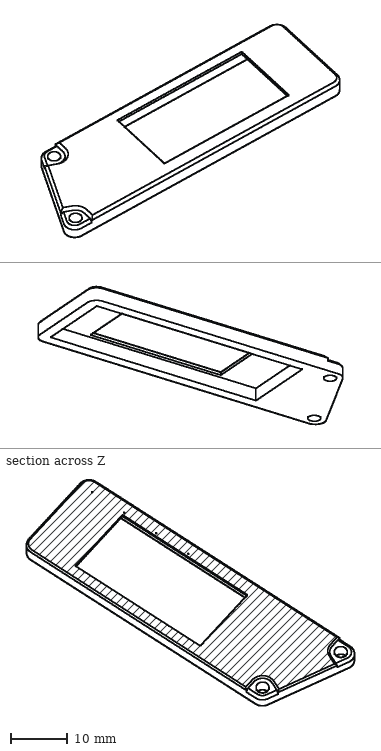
import cadquery as cq
import math

width = 18.97
length = 60.95
thickness = 3.05
corner_radius = 2.0
chamfer = 0.55

slope_rise = 6.6
slope_angle = math.atan2(slope_rise, width - 2 * corner_radius)

window_width = 13.65
window_length = 27.9
window_left = 2.4
window_top_margin = 10.2
window_bottom = length - window_top_margin - window_length

sheet_thickness = 0.6
recess_margin = 2.15
recess_width = width - 2 * recess_margin
recess_end_gap = window_top_margin - recess_margin
recess_bottom = window_bottom - recess_end_gap
recess_length = window_length + 2 * recess_end_gap

hole_diameter = 2.3
hole_edge_distance = 2.25
seat_depth = chamfer
seat_radius = 1.95
seat_level = thickness - seat_depth
seat_reach = 3 * corner_radius


def slope_edge_y(x, inset):
    """Height in y, at x, of the sloped end edge moved inward by inset."""
    rise_to_line = (inset - corner_radius) / math.cos(slope_angle)
    return corner_radius + slope_rise - (x - corner_radius) * math.tan(slope_angle) + rise_to_line


def plate(height):
    """Rounded plate of the given height, sharp along the top."""
    return (
        cq.Workplane("XY")
        .moveTo(0, slope_edge_y(0, 0))
        .lineTo(width, slope_edge_y(width, 0))
        .lineTo(width, length)
        .lineTo(0, length)
        .close()
        .extrude(height)
        .edges("|Z")
        .fillet(corner_radius)
    )


def chamfer_top(solid):
    """Chamfer every edge around the top face."""
    return solid.faces(">Z").edges().chamfer(chamfer)


def hole_centers():
    """Centres of the left and right holes, equally far from the side edge and the sloped edge."""
    xs = (hole_edge_distance, width - hole_edge_distance)
    return [(x, slope_edge_y(x, hole_edge_distance)) for x in xs]


def seat_prism(center, side):
    """Seat outline as a prism; side is -1 at the left edge and 1 at the right edge."""
    x, y = center
    arc_start = math.pi / 2
    arc_end = -slope_angle if side < 0 else math.pi - slope_angle
    arc_middle = (arc_start + arc_end) / 2

    def on_arc(angle):
        return (x + seat_radius * math.cos(angle), y + seat_radius * math.sin(angle))

    end_x, end_y = on_arc(arc_end)
    beyond_slope = (
        end_x - seat_reach * math.sin(slope_angle),
        end_y - seat_reach * math.cos(slope_angle),
    )
    beyond_side = x + side * seat_reach
    return (
        cq.Workplane("XY")
        .moveTo(beyond_side, y + seat_radius)
        .lineTo(*on_arc(arc_start))
        .threePointArc(on_arc(arc_middle), (end_x, end_y))
        .lineTo(*beyond_slope)
        .lineTo(beyond_side, beyond_slope[1])
        .close()
        .extrude(thickness)
    )


def block(left, bottom, size_x, size_y, height):
    """Box standing on z = 0 with its lower left corner at (left, bottom)."""
    return cq.Workplane("XY").box(size_x, size_y, height, centered=False).translate((left, bottom, 0))


left_hole, right_hole = hole_centers()
raised_body = plate(thickness)
raised_body = raised_body.cut(seat_prism(left_hole, -1)).cut(seat_prism(right_hole, 1))
body = chamfer_top(raised_body).union(chamfer_top(plate(seat_level)))

window = block(window_left, window_bottom, window_width, window_length, thickness)
recess = block(recess_margin, recess_bottom, recess_width, recess_length, thickness - sheet_thickness)
holes = cq.Workplane("XY").pushPoints(hole_centers()).circle(hole_diameter / 2).extrude(thickness)

result = body.cut(window).cut(recess).cut(holes)